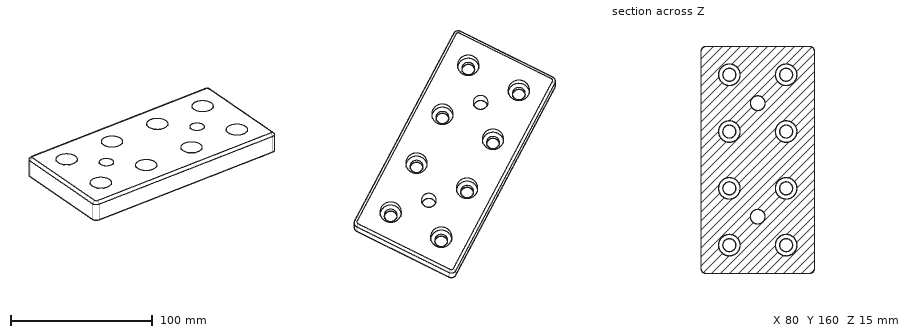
import cadquery as cq

width = 80.0
length = 160.0
thickness = 15.0
corner_radius = 3.5
top_chamfer = 2.0

pitch = 40.0
columns = 2
rows = 4
screw_diameter = 9.0
counterbore_diameter = 15.0
counterbore_depth = 9.0

plain_diameter = 10.2
plain_spacing = 2 * pitch


def make_plate():
    """Rounded rectangular plate, base on Z = 0, chamfered around the top."""
    plate = cq.Workplane("XY").box(width, length, thickness, centered=(True, True, False))
    plate = plate.edges("|Z").fillet(corner_radius)
    return plate.faces(">Z").edges().chamfer(top_chamfer)


def cut_screw_holes(plate):
    """Counterbored holes, entered from the top face."""
    return (
        plate.faces(">Z")
        .workplane(origin=(0, 0, thickness))
        .rarray(pitch, pitch, columns, rows)
        .cboreHole(screw_diameter, counterbore_diameter, counterbore_depth)
    )


def cut_plain_holes(plate):
    """Two plain holes through the full thickness."""
    half_spacing = plain_spacing / 2
    return (
        plate.faces(">Z")
        .workplane(origin=(0, 0, thickness))
        .pushPoints([(0, -half_spacing), (0, half_spacing)])
        .hole(plain_diameter)
    )


result = cut_plain_holes(cut_screw_holes(make_plate()))